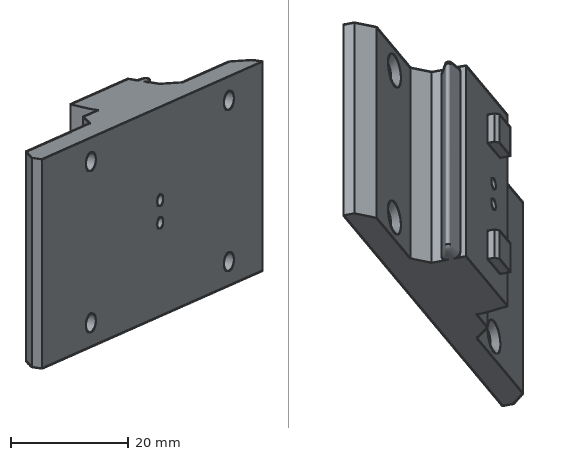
import math

import cadquery as cq

HEIGHT = 37.0
LENGTH = 73.42

PLATE_DEPTH = 4.9
END_CHAMFER = 2.9

SHELF_DEPTH = 8.0
BLOCK_DEPTH = 14.0
BLOCK_TOP_Y = 15.4
BLOCK_FOOT_DEPTH = 7.7
GROOVE_Y = -4.6
SHELF_END_Y = -9.6
SHELF_SLOPE_LENGTH = 2.9

LATCH_ANGLE = math.radians(10)
LATCH_ROOT_DEPTH = 9.5
LIP_FRONT_DEPTH = 12.95
LIP_BACK_ANGLE = math.radians(32)
LIP_TIP_RADIUS = 0.46
LIP_END_FILLET = 1.0
LIP_ROOT = 1.4

TAB_DEPTH = 15.9
TAB_TOP_Y = 5.4
TAB_BOTTOM_Y = -0.35
TAB_HEIGHT = 5.5
TAB_CHAMFER = 0.65
TAB_SPACING = 22.5

PIN_HOLE_DIAMETER = 2.0
PIN_HOLE_SPACING = 4.0
PIN_HOLE_Y = 2.65
SCREW_HOLE_DIAMETER = 3.3
SCREW_HEAD_DIAMETER = 5.9
SCREW_HEAD_ANGLE = 90.0
SCREW_HOLE_YS = (25.5, -20.4)
SCREW_HOLE_SPACING = 28.5

MID_Z = HEIGHT / 2


def prism(outline, z_bottom, height):
    """Extrude an outline of (depth, y) points upward from z_bottom."""
    points = [(-depth, y) for depth, y in outline]
    return cq.Workplane("XY").workplane(offset=z_bottom).polyline(points).close().extrude(height)


def paired_heights(spacing):
    """Heights of two features placed symmetrically about mid height."""
    return (MID_Z - spacing / 2, MID_Z + spacing / 2)


def make_body():
    end_y = LENGTH / 2
    chamfer_depth = PLATE_DEPTH - END_CHAMFER
    latch_rise = (BLOCK_DEPTH - LATCH_ROOT_DEPTH) * math.tan(LATCH_ANGLE)
    outline = [
        (0, end_y),
        (chamfer_depth, end_y),
        (PLATE_DEPTH, end_y - END_CHAMFER),
        (PLATE_DEPTH, BLOCK_TOP_Y + BLOCK_FOOT_DEPTH - PLATE_DEPTH),
        (BLOCK_FOOT_DEPTH, BLOCK_TOP_Y),
        (BLOCK_DEPTH, BLOCK_TOP_Y),
        (BLOCK_DEPTH, GROOVE_Y + latch_rise),
        (LATCH_ROOT_DEPTH, GROOVE_Y),
        (SHELF_DEPTH, GROOVE_Y),
        (SHELF_DEPTH, SHELF_END_Y),
        (PLATE_DEPTH, SHELF_END_Y - SHELF_SLOPE_LENGTH),
        (PLATE_DEPTH, -end_y + END_CHAMFER),
        (chamfer_depth, -end_y),
        (0, -end_y),
    ]
    return prism(outline, 0, HEIGHT)


def make_lip():
    """Pointed lip with a rounded tip and rounded upper and lower ends, rooted inside the block."""
    front_slope = math.tan(LATCH_ANGLE)
    back_slope = math.tan(LIP_BACK_ANGLE)
    apex_rise = (LIP_FRONT_DEPTH - LATCH_ROOT_DEPTH) / (front_slope + back_slope)
    apex = (LIP_FRONT_DEPTH - apex_rise * front_slope, BLOCK_TOP_Y + apex_rise)
    outline = [
        (LATCH_ROOT_DEPTH, BLOCK_TOP_Y - LIP_ROOT),
        (LATCH_ROOT_DEPTH, BLOCK_TOP_Y),
        apex,
        (LIP_FRONT_DEPTH, BLOCK_TOP_Y),
        (LIP_FRONT_DEPTH, BLOCK_TOP_Y - LIP_ROOT),
    ]
    lip = prism(outline, 0, HEIGHT).edges("|Z and >Y").fillet(LIP_TIP_RADIUS)
    exposed = cq.selectors.BoxSelector(
        (-BLOCK_DEPTH, BLOCK_TOP_Y, -HEIGHT),
        (0, apex[1], 2 * HEIGHT),
    )
    for end_face in ("<Z", ">Z"):
        lip = lip.faces(end_face).edges(exposed).fillet(LIP_END_FILLET)
    return lip


def make_tab(z_middle):
    outline = [
        (BLOCK_DEPTH, TAB_TOP_Y),
        (TAB_DEPTH - TAB_CHAMFER, TAB_TOP_Y),
        (TAB_DEPTH, TAB_TOP_Y - TAB_CHAMFER),
        (TAB_DEPTH, TAB_BOTTOM_Y),
        (BLOCK_DEPTH, TAB_BOTTOM_Y),
    ]
    return prism(outline, z_middle - TAB_HEIGHT / 2, TAB_HEIGHT)


def cylinder_from_back(y, z, diameter, depth):
    start = cq.Vector(0, y, z)
    return cq.Workplane(cq.Solid.makeCylinder(diameter / 2, depth, start, cq.Vector(-1, 0, 0)))


def make_countersink(y, z):
    head_radius = SCREW_HEAD_DIAMETER / 2
    hole_radius = SCREW_HOLE_DIAMETER / 2
    sink = (head_radius - hole_radius) / math.tan(math.radians(SCREW_HEAD_ANGLE / 2))
    start = cq.Vector(-PLATE_DEPTH, y, z)
    return cq.Workplane(cq.Solid.makeCone(head_radius, hole_radius, sink, start, cq.Vector(1, 0, 0)))


result = make_body().union(make_lip())

for tab_z in paired_heights(TAB_SPACING):
    result = result.union(make_tab(tab_z))

for pin_z in paired_heights(PIN_HOLE_SPACING):
    result = result.cut(cylinder_from_back(PIN_HOLE_Y, pin_z, PIN_HOLE_DIAMETER, BLOCK_DEPTH))

for screw_y in SCREW_HOLE_YS:
    for screw_z in paired_heights(SCREW_HOLE_SPACING):
        result = result.cut(cylinder_from_back(screw_y, screw_z, SCREW_HOLE_DIAMETER, PLATE_DEPTH))
        result = result.cut(make_countersink(screw_y, screw_z))